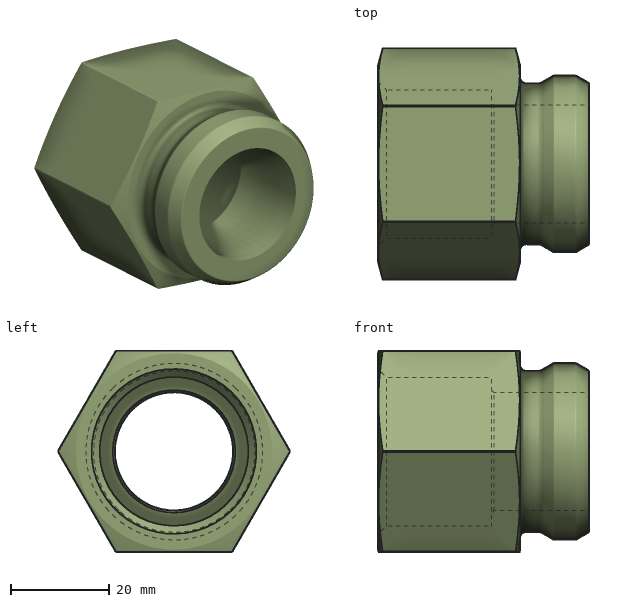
import cadquery as cq
import math

total_length = 43.0
hex_length = 28.97
across_flats = 41.0
corner_diameter = 47.2

face_diameter = 40.0
face_chamfer_angle = 15.0

neck_diameter = 32.9
collar_diameter = 36.0
collar_start = hex_length + 6.85
collar_end = hex_length + 11.33
collar_slope = 30.0
neck_hex_fillet = 1.15
neck_cone_fillet = 1.25
collar_start_fillet = 0.4
collar_end_fillet = 0.65
tip_fillet = 0.4

through_diameter = 24.0
socket_diameter = 30.3
socket_depth = 23.1
socket_mouth_diameter = 33.6
socket_mouth_angle = 45.0
floor_bevel_diameter = 24.95
floor_bevel_angle = 45.0


def tan_deg(angle):
    return math.tan(math.radians(angle))


cone_start = collar_start - (collar_diameter - neck_diameter) / 2 / tan_deg(collar_slope)


def revolve_about_x(profile):
    return profile.close().revolve(360, (0, 0, 0), (1, 0, 0))


def make_hexagon():
    """Hexagon with two corners on Y, trimmed by a cylinder with conical ends."""
    prism_diameter = across_flats / math.cos(math.pi / 6)
    prism = cq.Workplane("YZ").polygon(6, prism_diameter).extrude(hex_length)
    corner_radius = corner_diameter / 2
    face_radius = face_diameter / 2
    chamfer_length = (corner_radius - face_radius) * tan_deg(face_chamfer_angle)
    envelope = revolve_about_x(
        cq.Workplane("XY")
        .lineTo(0, face_radius)
        .lineTo(chamfer_length, corner_radius)
        .lineTo(hex_length - chamfer_length, corner_radius)
        .lineTo(hex_length, face_radius)
        .lineTo(hex_length, 0)
    )
    return prism.intersect(envelope)


def make_spigot():
    """Neck and collar, with the collar bounded by two cones."""
    neck_radius = neck_diameter / 2
    collar_radius = collar_diameter / 2
    tip_radius = collar_radius - (total_length - collar_end) * tan_deg(collar_slope)
    return revolve_about_x(
        cq.Workplane("XY")
        .moveTo(hex_length, 0)
        .lineTo(hex_length, neck_radius)
        .lineTo(cone_start, neck_radius)
        .lineTo(collar_start, collar_radius)
        .lineTo(collar_end, collar_radius)
        .lineTo(total_length, tip_radius)
        .lineTo(total_length, 0)
    )


def fillet_ring(body, position, radius):
    """Round the smallest circular edge in the plane X = position."""
    margin = 0.005
    size = corner_diameter
    ring = cq.selectors.BoxSelector(
        (position - margin, -size, -size), (position + margin, size, size)
    )
    smallest = cq.selectors.RadiusNthSelector(0)
    return body.edges("%CIRCLE").edges(ring).edges(smallest).fillet(radius)


def make_bores():
    """Through bore, socket with a conical mouth, and bevel at the socket floor."""
    through_radius = through_diameter / 2
    socket_radius = socket_diameter / 2
    mouth_radius = socket_mouth_diameter / 2
    bevel_radius = floor_bevel_diameter / 2
    mouth_depth = (mouth_radius - socket_radius) / tan_deg(socket_mouth_angle)
    bevel_depth = (bevel_radius - through_radius) / tan_deg(floor_bevel_angle)
    return revolve_about_x(
        cq.Workplane("XY")
        .lineTo(0, mouth_radius)
        .lineTo(mouth_depth, socket_radius)
        .lineTo(socket_depth, socket_radius)
        .lineTo(socket_depth, bevel_radius)
        .lineTo(socket_depth + bevel_depth, through_radius)
        .lineTo(total_length, through_radius)
        .lineTo(total_length, 0)
    )


body = make_hexagon().union(make_spigot())
for position, radius in (
    (hex_length, neck_hex_fillet),
    (cone_start, neck_cone_fillet),
    (collar_start, collar_start_fillet),
    (collar_end, collar_end_fillet),
    (total_length, tip_fillet),
):
    body = fillet_ring(body, position, radius)
result = body.cut(make_bores())